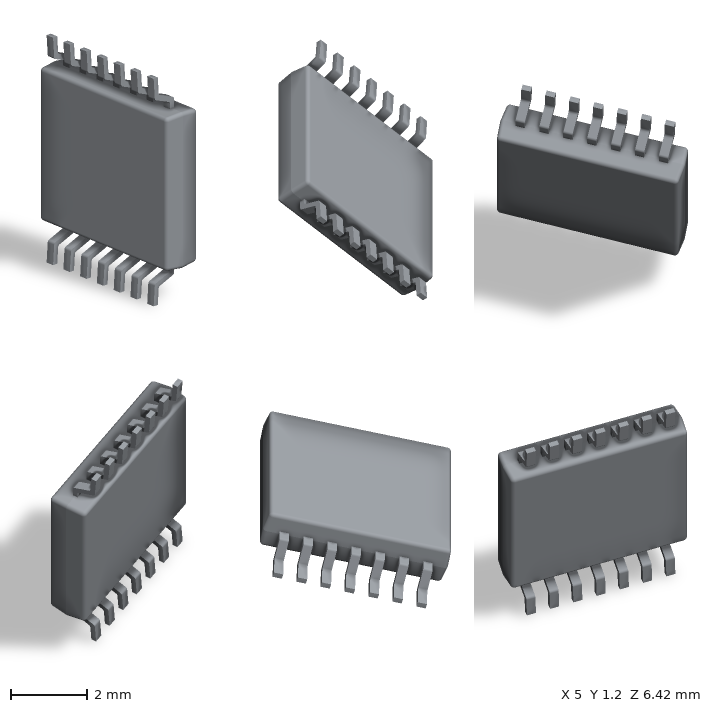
import cadquery as cq
import math

body_width = 5.0
body_length = 4.405
body_thickness = 1.1
draft_angle = 5
body_fillet = 0.1

overall_length = 6.42
leads_per_side = 7
lead_pitch = 0.65
lead_width = 0.25
lead_thickness = 0.15
lead_bend_radius = 0.07
lead_embed = 0.32

root_length = 0.245
slant_drop = 0.54
slant_angle = 21
foot_tilt = 4

half_length = body_length / 2
half_lead = lead_thickness / 2
tip_z = overall_length / 2


def make_body():
    half = (
        cq.Workplane("XZ")
        .rect(body_width, body_length)
        .extrude(body_thickness / 2, taper=draft_angle)
    )
    rounded = half.edges("not >Y").fillet(body_fillet)
    return rounded.union(rounded.mirror("XZ"))


def bend_point(center, angle_in, angle_out, side):
    """Mitred (y, z) corner on one face of the lead; angles lean from +Z toward -Y."""
    mean = math.radians((angle_in + angle_out) / 2)
    half_turn = math.radians((angle_out - angle_in) / 2)
    reach = side * half_lead / math.cos(half_turn)
    return (center[0] + reach * math.cos(mean), center[1] + reach * math.sin(mean))


def make_lead():
    slant_lean = 90 - slant_angle
    root_z = half_length - lead_embed
    first_bend = (0, half_length + root_length)
    slant_rise = slant_drop * math.tan(math.radians(slant_angle))
    second_bend = (-slant_drop, first_bend[1] + slant_rise)
    tilt = math.radians(foot_tilt)
    tip_y = second_bend[0] - (tip_z - second_bend[1]) * math.tan(tilt)

    def face_points(side):
        return [
            (side * half_lead, root_z),
            bend_point(first_bend, 0, slant_lean, side),
            bend_point(second_bend, slant_lean, foot_tilt, side),
            (tip_y + side * half_lead / math.cos(tilt), tip_z),
        ]

    profile = face_points(-1) + face_points(1)[::-1]
    lead = cq.Workplane("YZ").polyline(profile).close().extrude(lead_width / 2, both=True)
    bends = cq.selectors.BoxSelector(
        (-lead_width, -body_width, half_length),
        (lead_width, body_width, tip_z - half_lead),
    )
    return lead.edges("|X").edges(bends).fillet(lead_bend_radius)


result = make_body()
upper_lead = make_lead()
lower_lead = upper_lead.mirror("XY")
for index in range(leads_per_side):
    lead_x = (index - (leads_per_side - 1) / 2) * lead_pitch
    result = result.union(upper_lead.translate((lead_x, 0, 0)))
    result = result.union(lower_lead.translate((lead_x, 0, 0)))